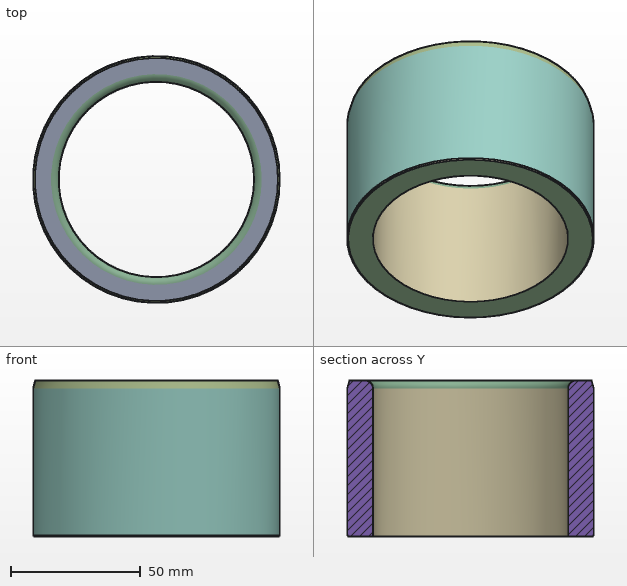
import cadquery as cq
import math

outer_diameter = 95.0
bore_diameter = 75.0
height = 60.0
lead_in_height = 3.0
lead_in_angle = 15.0
bore_entry_radius = 3.0
bottom_chamfer = 0.5

outer_radius = outer_diameter / 2
bore_radius = bore_diameter / 2
lead_in_depth = lead_in_height * math.tan(math.radians(lead_in_angle))


def sleeve_section():
    """Half section of the sleeve, with radius along X and height along Z."""
    arc_offset = bore_entry_radius * (1 - math.sqrt(0.5))
    return (
        cq.Workplane("XZ")
        .moveTo(bore_radius, 0)
        .lineTo(outer_radius - bottom_chamfer, 0)
        .lineTo(outer_radius, bottom_chamfer)
        .lineTo(outer_radius, height - lead_in_height)
        .lineTo(outer_radius - lead_in_depth, height)
        .lineTo(bore_radius + bore_entry_radius, height)
        .threePointArc(
            (bore_radius + arc_offset, height - arc_offset),
            (bore_radius, height - bore_entry_radius),
        )
        .close()
    )


result = sleeve_section().revolve(360, (0, 0, 0), (0, 1, 0))